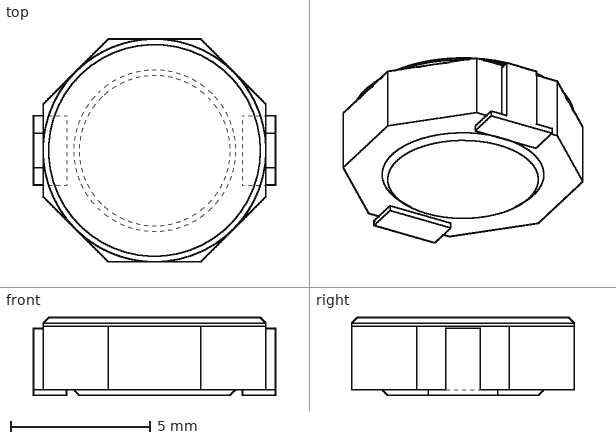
import cadquery as cq
import math

length = 8.7
body_width = 8.0
height = 2.8

body_sides = 8
body_bottom = 0.2
body_top = 2.49
lid_chamfer = 0.2

foot_radius = 2.91
foot_chamfer = 0.2

pad_length = 1.19
pad_width = 2.5
pad_thickness = body_bottom
upright_width = 1.235
upright_top = 2.41
upright_thickness = (length - body_width) / 2


def make_body():
    """Regular octagon with flats facing the X and Y axes."""
    corner_diameter = body_width / math.cos(math.pi / body_sides)
    return (
        cq.Workplane("XY", origin=(0, 0, body_bottom))
        .transformed(rotate=(0, 0, 180 / body_sides))
        .polygon(body_sides, corner_diameter)
        .extrude(body_top - body_bottom)
    )


def make_lid():
    """Disc touching the octagon flats, chamfered around its top."""
    return (
        cq.Workplane("XY", origin=(0, 0, body_top))
        .circle(body_width / 2)
        .extrude(height - body_top)
        .faces(">Z")
        .chamfer(lid_chamfer)
    )


def make_foot():
    """Cone frustum that narrows down to the mounting plane."""
    return (
        cq.Workplane("XY")
        .circle(foot_radius - foot_chamfer)
        .workplane(offset=body_bottom)
        .circle(foot_radius)
        .loft()
    )


def make_terminal():
    """Flat pad below the body and an upright tab against its -X flat."""
    pad = cq.Workplane("XY").box(pad_length, pad_width, pad_thickness, centered=(False, True, False))
    upright = cq.Workplane("XY").box(upright_thickness, upright_width, upright_top, centered=(False, True, False))
    return pad.union(upright).translate((-length / 2, 0, 0))


left_terminal = make_terminal()
right_terminal = left_terminal.mirror("YZ")

result = make_body().union(make_lid()).union(make_foot()).union(left_terminal).union(right_terminal)